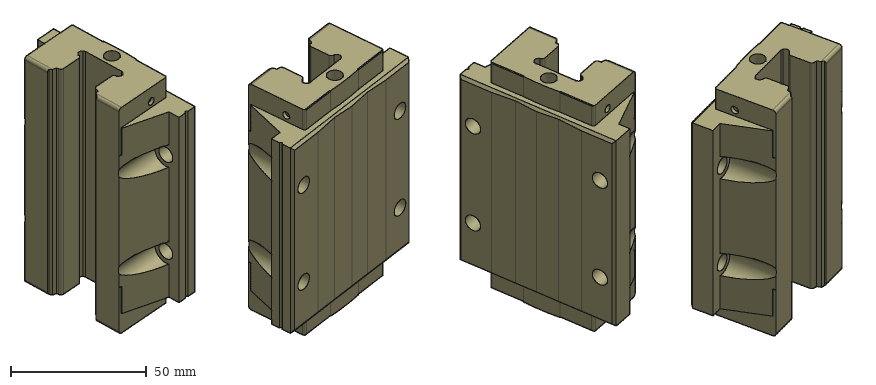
import cadquery as cq
import math

length = 105.0
block_length = 86.2
width = 70.0
height = 30.0

flange_bottom = 20.1
shoulder_half_width = 30.0
top_chamfer = 1.2
groove_edge_x = 20.2
groove_bottom_x = 9.7
groove_depth = 0.4

bar_width = 46.8
bar_height = 26.6
bar_corner_radius = 1.0
bar_end_chamfer = 0.3
bar_bottom_radius = 1.4
crown_half_width = 8.2
crown_rise = 0.3
plate_thickness = 1.2
plate_inner_z = 30.7

opening_half_width = 8.1
opening_top = 17.5
opening_lip_radius = 1.4
ceiling_half_width = 8.9
bulb_start = (9.9, 17.2)
bulb_side = (10.6, 15.8)
bulb_bottom_y = 14.2
lower_lip_y = 3.2
lower_steps = [(10.3, 2.9), (10.8, 1.3), (12.0, 0.6), (12.1, 0.0)]

hole_pitch_x = 57.0
hole_pitch_z = 45.0
hole_diameter = 6.8
relief_diameter = 10.8

end_port_y = 22.0
end_port_diameter = 6.2
end_port_depth = 9.5
end_port_tip_depth = 1.8
side_port_y = 17.7
side_port_z = 45.9
side_port_diameter = 3.2
side_port_depth = 1.6

mark_y = 24.4
mark_radius = 0.6

SIDES = (-1, 1)


def prism(outline, prism_length):
    """Extrude a closed XY outline symmetrically along Z."""
    return outline.close().extrude(prism_length / 2, both=True)


def make_block():
    half = width / 2
    foot = bar_width / 2
    outline = cq.Workplane("XY").polyline([
        (-half, height), (half, height), (half, flange_bottom),
        (shoulder_half_width, flange_bottom), (foot, 0), (-foot, 0),
        (-shoulder_half_width, flange_bottom), (-half, flange_bottom),
    ])
    block = prism(outline, block_length).faces(">Y").edges().chamfer(top_chamfer)
    for side in SIDES:
        groove = cq.Workplane("XY").polyline([
            (0, height), (side * groove_bottom_x, height - groove_depth),
            (side * groove_edge_x, height),
        ])
        block = block.cut(prism(groove, length))
    step_length = length / 2 - plate_inner_z
    for end in SIDES:
        step = cq.Workplane("XY").box(width, 2 * plate_thickness, step_length)
        block = block.cut(step.translate((0, 0, end * (plate_inner_z + step_length / 2))))
    return block


def make_bar():
    bar = cq.Workplane("XY").box(bar_width, bar_height, length).translate((0, bar_height / 2, 0))
    bar = bar.edges("|X and <Y").fillet(bar_bottom_radius)
    bar = bar.edges("|X and >Y").chamfer(bar_end_chamfer)
    bar = bar.edges("|Z and >Y").fillet(bar_corner_radius)
    crown = (
        cq.Workplane("XY")
        .moveTo(-crown_half_width, opening_top)
        .lineTo(-crown_half_width, bar_height)
        .threePointArc((0, bar_height + crown_rise), (crown_half_width, bar_height))
        .lineTo(crown_half_width, opening_top)
    )
    return bar.union(prism(crown, length))


def make_rail_opening():
    lip_x = opening_half_width + opening_lip_radius
    arc_inset = opening_lip_radius * (1 - math.sqrt(0.5))
    half_outline = (
        cq.Workplane("XY")
        .moveTo(0, opening_top)
        .lineTo(ceiling_half_width, opening_top)
        .lineTo(*bulb_start)
        .threePointArc(bulb_side, (lip_x, bulb_bottom_y))
        .threePointArc(
            (opening_half_width + arc_inset, bulb_bottom_y - arc_inset),
            (opening_half_width, bulb_bottom_y - opening_lip_radius),
        )
        .lineTo(opening_half_width, lower_lip_y + opening_lip_radius)
        .threePointArc(
            (opening_half_width + arc_inset, lower_lip_y + arc_inset),
            (lip_x, lower_lip_y),
        )
    )
    for corner in lower_steps:
        half_outline = half_outline.lineTo(*corner)
    half_opening = prism(half_outline.lineTo(0, 0), length)
    return half_opening.union(half_opening.mirror("YZ"))


def cylinder(diameter, depth, start, direction):
    solid = cq.Solid.makeCylinder(diameter / 2, depth, cq.Vector(*start), cq.Vector(*direction))
    return cq.Workplane(solid)


def cut_mounting_holes(body):
    for side in SIDES:
        for end in SIDES:
            start = (side * hole_pitch_x / 2, 0, end * hole_pitch_z / 2)
            body = body.cut(cylinder(hole_diameter, height, start, (0, 1, 0)))
            body = body.cut(cylinder(relief_diameter, flange_bottom, start, (0, 1, 0)))
    return body


def cut_grease_ports(body):
    wall_y = end_port_y + end_port_diameter / 2
    for end in SIDES:
        mouth_z = end * length / 2
        shoulder_z = mouth_z - end * end_port_depth
        tip_z = shoulder_z - end * end_port_tip_depth
        half_section = cq.Workplane("YZ").polyline([
            (end_port_y, mouth_z), (wall_y, mouth_z), (wall_y, shoulder_z), (end_port_y, tip_z),
        ])
        body = body.cut(half_section.close().revolve(360, (end_port_y, 0), (end_port_y, 1)))
        for side in SIDES:
            start = (side * bar_width / 2, side_port_y, end * side_port_z)
            body = body.cut(cylinder(side_port_diameter, side_port_depth, start, (-side, 0, 0)))
    return body


def cut_reference_groove(body):
    start = (width / 2, mark_y, -length / 2)
    return body.cut(cylinder(2 * mark_radius, length, start, (0, 0, 1)))


body = make_block().union(make_bar()).cut(make_rail_opening())
body = cut_mounting_holes(body)
body = cut_grease_ports(body)
result = cut_reference_groove(body)